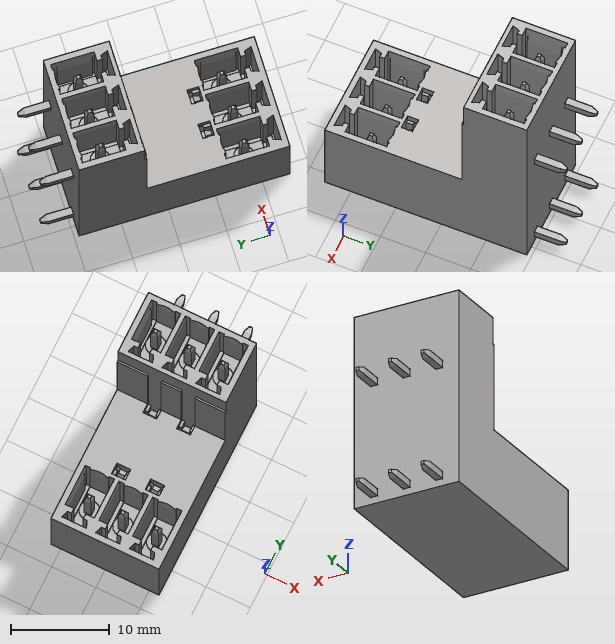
import cadquery as cq

contact_count = 3
pitch = 3.81
row_spacing = 4 * pitch
side_margin = 0.395
contact_xs = [(i - (contact_count - 1) / 2) * pitch for i in range(contact_count)]
key_xs = [(a + b) / 2 for a, b in zip(contact_xs, contact_xs[1:])]

housing_width = contact_count * pitch + 2 * side_margin
housing_depth = 22.4
housing_height = 21.9
step_height = 9.15
tower_depth = 7.0
panel_thickness = 0.2
panel_top = 18.9

pin_size = 0.8
pin_tip_size = 0.35
pin_tip_length = 0.75
tail_length = 3.4
pin_recess = 1.4
rear_pin_y = -3.0
front_pin_y = rear_pin_y - row_spacing
rear_tail_z = 13.9
front_tail_z = 1.2

socket_width = 3.3
socket_depth = 6.5
socket_rear = 2.41
socket_front = 2.19
lead_in = 0.13
lead_in_height = 0.85
rib_width = 2.12
wall_rib_thickness = 0.14
floor_rib_height = 0.3
scoop_half_width = 0.8
scoop_height = 1.4
pin_seat_diameter = 2.1
pin_seat_depth = 0.1

pad_rear_gap = 0.6
pad_front_gap = 0.25
rear_pad_thickness = 0.3
front_pad_thickness = 0.24

slot_depth = 6.0
slot_neck_half = 0.66
slot_shoulder_half = 1.1
slot_base_half = 1.37
slot_shoulder = 2.75
slot_base = 3.52

latch_width = 1.55
latch_length = 1.23
latch_depth = 0.7
latch_bottom_depth = 1.5
latch_flat_length = 0.48
latch_funnel_width = 1.35
latch_bottom_width = 0.75
latch_ramp_width = 0.9
latch_ramp_depth = 2.2
front_latch_y = -15.43


def box(x_min, x_max, y_min, y_max, z_min, z_max):
    """Axis-aligned block between the given limits."""
    size = (x_max - x_min, y_max - y_min, z_max - z_min)
    return cq.Workplane("XY").box(*size, centered=False).translate((x_min, y_min, z_min))


def centred_box(x, width, y_min, y_max, z_min, z_max):
    """Block centred on x."""
    return box(x - width / 2, x + width / 2, y_min, y_max, z_min, z_max)


def housing_block():
    """L-shaped block with three raised panels on the tower's front face."""
    half = housing_width / 2
    tower_front = tower_depth + panel_thickness
    block = box(-half, half, -housing_depth, 0, 0, step_height)
    block = block.union(box(-half, half, -tower_depth, 0, 0, housing_height))
    block = block.union(box(-half, half, -tower_front, 0, 0, panel_top))
    for x in key_xs:
        block = block.cut(
            centred_box(x, latch_width, -tower_front, -tower_depth, step_height, panel_top)
        )
    return block


def lead_in_cut(x, y_min, y_max, top, depth_scale):
    """Tapered mouth of a socket; depth_scale lengthens the taper at the same slope."""
    top_half = socket_width / 2
    low_half = top_half - lead_in * depth_scale
    low = top - lead_in_height * depth_scale
    return (
        cq.Workplane("XZ", origin=(x, y_max, 0))
        .polyline([(-top_half, top), (top_half, top), (low_half, low), (-low_half, low)])
        .close()
        .extrude(y_max - y_min)
    )


def wall_rib(x, pin_y, top):
    """Rib on the rear socket wall, hollowed at the top by a cone around the pin axis."""
    rear = pin_y + socket_rear
    face_distance = socket_rear - wall_rib_thickness
    rib = centred_box(x, rib_width, rear - wall_rib_thickness, rear, top - socket_depth, top)
    mouth_radius = (face_distance**2 + scoop_half_width**2) ** 0.5
    cone = cq.Solid.makeCone(
        face_distance, mouth_radius, scoop_height, cq.Vector(x, pin_y, top - scoop_height)
    )
    return rib.cut(cq.Workplane(cone))


def outer_pad(x, pin_y, top, thickness):
    """Pad on the outermost wall of an end socket."""
    side = 1 if x > 0 else -1
    wall = x + side * socket_width / 2
    face = wall - side * thickness
    y_min = pin_y - socket_front + pad_front_gap
    y_max = pin_y + socket_rear - pad_rear_gap
    return box(min(wall, face), max(wall, face), y_min, y_max, top - socket_depth, top)


def socket_cut(x, pin_y, top, pad_thickness):
    """Volume removed from the housing for one socket."""
    y_min = pin_y - socket_front
    y_max = pin_y + socket_rear
    floor = top - socket_depth
    throat = socket_width - 2 * lead_in
    cut = centred_box(x, throat, y_min, y_max, floor, top)
    if abs(x) > pitch / 2:
        cut = cut.cut(outer_pad(x, pin_y, top, pad_thickness))
        cut = cut.union(lead_in_cut(x, y_min, y_max, top, pad_thickness / lead_in))
    cut = cut.union(lead_in_cut(x, y_min, y_max, top, 1))
    cut = cut.cut(wall_rib(x, pin_y, top))
    rib_top = floor + floor_rib_height
    cut = cut.cut(centred_box(x, rib_width, y_min, y_max, floor, rib_top))
    seat = (
        cq.Workplane("XY", origin=(x, pin_y, rib_top - pin_seat_depth))
        .circle(pin_seat_diameter / 2)
        .extrude(pin_seat_depth)
    )
    return cut.union(seat)


def coding_slot(x, pin_y, top):
    """Dovetail slot that opens into the front of a socket."""
    half_outline = [
        (slot_neck_half, -socket_front),
        (slot_neck_half, -slot_shoulder),
        (slot_shoulder_half, -slot_shoulder),
        (slot_base_half, -slot_base),
    ]
    mirrored = [(-px, py) for px, py in reversed(half_outline)]
    return (
        cq.Workplane("XY", origin=(x, pin_y, top - slot_depth))
        .polyline(half_outline + mirrored)
        .close()
        .extrude(slot_depth)
    )


def latch_pocket(x, ramp_y, direction):
    """Latch pocket; its deep end is at ramp_y and its floor rises along Y in the given direction."""
    ledge = -latch_depth
    bottom = -latch_bottom_depth
    flat_start = latch_length - latch_flat_length
    mouth = centred_box(0, latch_width, 0, latch_length, ledge, 0)
    ramp = (
        cq.Workplane("YZ", origin=(-latch_ramp_width / 2, 0, 0))
        .polyline([(0, ledge), (flat_start, ledge), (flat_start, bottom), (0, -latch_ramp_depth)])
        .close()
        .extrude(latch_ramp_width)
    )
    wide = latch_funnel_width / 2
    narrow = latch_bottom_width / 2
    funnel = (
        cq.Workplane("XZ", origin=(0, latch_length, 0))
        .polyline([(-wide, ledge), (wide, ledge), (narrow, bottom), (-narrow, bottom)])
        .close()
        .extrude(latch_flat_length)
    )
    pocket = mouth.union(ramp).union(funnel)
    if direction < 0:
        pocket = pocket.mirror("XZ")
    return pocket.translate((x, ramp_y, step_height))


def pin_end(plane):
    """Pyramid tip that tapers along the normal of the given plane."""
    return (
        cq.Workplane(plane)
        .rect(pin_size, pin_size)
        .workplane(offset=pin_tip_length)
        .rect(pin_tip_size, pin_tip_size)
        .loft()
    )


def make_pin(x, pin_y, tail_z, top):
    """Right-angle pin with an upright contact and a tail through the rear face."""
    half = pin_size / 2
    upright_end = top - pin_recess - pin_tip_length
    tail_end = tail_length - pin_tip_length
    upright = centred_box(x, pin_size, pin_y - half, pin_y + half, tail_z - half, upright_end)
    tail = centred_box(x, pin_size, pin_y - half, tail_end, tail_z - half, tail_z + half)
    tail_plane = cq.Plane(origin=(x, tail_end, tail_z), xDir=(1, 0, 0), normal=(0, 1, 0))
    pin = upright.union(tail)
    pin = pin.union(pin_end(cq.Plane(origin=(x, pin_y, upright_end))))
    return pin.union(pin_end(tail_plane))


rows = [
    (rear_pin_y, rear_tail_z, housing_height, rear_pad_thickness),
    (front_pin_y, front_tail_z, step_height, front_pad_thickness),
]

housing = housing_block()
for x in key_xs:
    housing = housing.cut(latch_pocket(x, -tower_depth, -1))
    housing = housing.cut(latch_pocket(x, front_latch_y, 1))

pins = []
for pin_y, tail_z, mouth_z, pad_thickness in rows:
    for x in contact_xs:
        housing = housing.cut(socket_cut(x, pin_y, mouth_z, pad_thickness))
        housing = housing.cut(coding_slot(x, pin_y, mouth_z))
        pin = make_pin(x, pin_y, tail_z, mouth_z)
        housing = housing.cut(pin)
        pins.append(pin)

result = cq.Compound.makeCompound([housing.val(), *[pin.val() for pin in pins]])